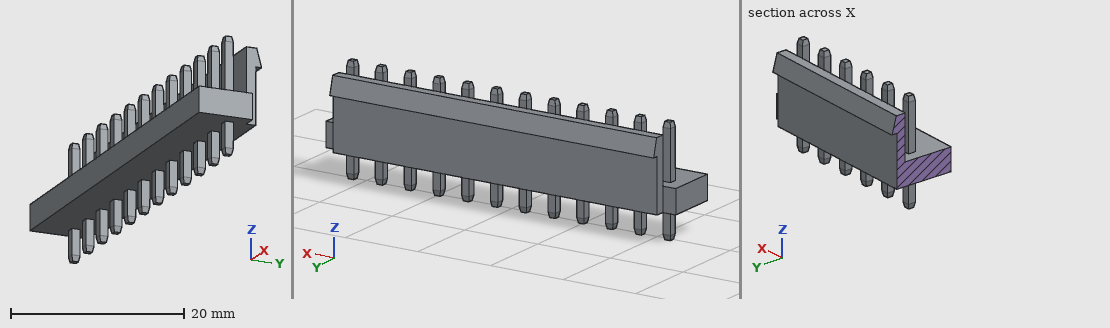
import cadquery as cq

pin_count = 12
pin_pitch = 3.96
pin_width = 1.04
pin_tip_height = 0.7
pin_tip_inset = 0.15
pin_above_base = 7.23
pin_below_base = 3.9

base_length = 48.16
base_height = 3.2
base_front = 4.6
base_back = 2.14

wall_thickness = 1.2
wall_rise = 6.2
hook_overhang = 0.75
hook_height = 2.3
hook_top_overhang = 0.13

pin_row_length = (pin_count - 1) * pin_pitch
wall_length = pin_row_length + pin_width


def make_base():
    """Rectangular block with the pin row nearer its back face."""
    return cq.Workplane("XY").box(
        base_length, base_front + base_back, base_height, centered=(True, False, False)
    ).translate((0, -base_front, 0))


def make_latch_wall():
    """Wall profile in the YZ plane with a sloped hook, extruded along X."""
    wall_front = base_back
    wall_back = wall_front + wall_thickness
    wall_top = base_height + wall_rise
    hook_bottom = wall_top - hook_height
    profile = [
        (wall_front, 0),
        (wall_back, 0),
        (wall_back, hook_bottom),
        (wall_back + hook_overhang, hook_bottom),
        (wall_back + hook_top_overhang, wall_top),
        (wall_front, wall_top),
    ]
    return cq.Workplane("YZ").polyline(profile).close().extrude(wall_length / 2, both=True)


def make_pin():
    """Square post through the base, tapered on all four sides at both ends."""
    pin_length = pin_below_base + base_height + pin_above_base
    return (
        cq.Workplane("XY")
        .box(pin_width, pin_width, pin_length, centered=(True, True, False))
        .faces("<Z or >Z")
        .chamfer(pin_tip_height, pin_tip_inset)
        .translate((0, 0, -pin_below_base))
    )


result = make_base().union(make_latch_wall())
pin = make_pin()
for index in range(pin_count):
    pin_x = index * pin_pitch - pin_row_length / 2
    result = result.union(pin.translate((pin_x, 0, 0)))